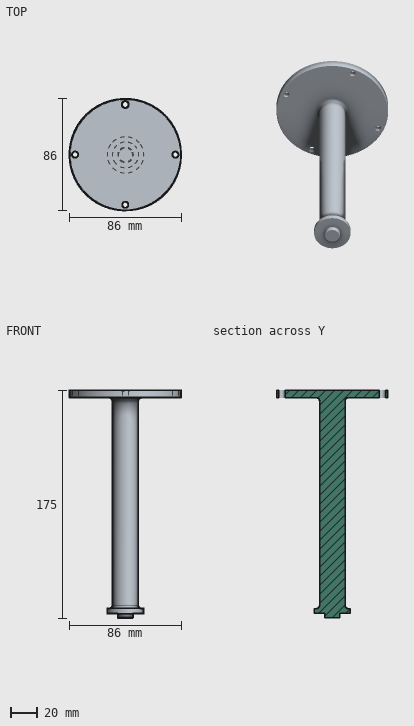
import cadquery as cq

total_height = 175.0

plate_diameter = 86.0
plate_thickness = 6.0
plate_chamfer = 0.5

column_diameter = 20.0
column_fillet = 2.3

collar_diameter = 28.0
collar_thickness = 4.0
pin_diameter = 11.9
pin_length = 3.5
pin_chamfer = 0.5

hole_circle_radius = 38.5
hole_diameter = 4.5
wide_hole_diameter = 4.9
wide_hole_mouth_diameter = 5.5
wide_hole_mouth_depth = 0.7

collar_bottom = pin_length
collar_top = collar_bottom + collar_thickness
plate_bottom = total_height - plate_thickness


def disc(diameter, bottom, top):
    """Solid cylinder on the Z axis between two heights."""
    return cq.Workplane("XY").workplane(offset=bottom).circle(diameter / 2).extrude(top - bottom)


def column_with_fillets():
    """Column flaring with a concave fillet into the collar and the plate."""
    radius = column_diameter / 2
    flare_radius = radius + column_fillet
    lower_tangent = collar_top + column_fillet
    upper_tangent = plate_bottom - column_fillet
    profile = (
        cq.Workplane("XZ")
        .moveTo(0, collar_top)
        .lineTo(flare_radius, collar_top)
        .radiusArc((radius, lower_tangent), column_fillet)
        .lineTo(radius, upper_tangent)
        .radiusArc((flare_radius, plate_bottom), column_fillet)
        .lineTo(0, plate_bottom)
        .close()
    )
    return profile.revolve(360, (0, 0, 0), (0, 1, 0))


def plate():
    """Round plate with a chamfered lower rim and four through holes."""
    body = disc(plate_diameter, plate_bottom, total_height)
    body = body.faces("<Z").edges().chamfer(plate_chamfer)
    plain_holes = [(-hole_circle_radius, 0), (hole_circle_radius, 0), (0, -hole_circle_radius)]
    wide_hole = [(0, hole_circle_radius)]
    top = body.faces(">Z").workplane(origin=(0, 0, total_height))
    drilled = top.pushPoints(plain_holes).hole(hole_diameter)
    top = drilled.faces(">Z").workplane(origin=(0, 0, total_height))
    return top.pushPoints(wide_hole).cboreHole(
        wide_hole_diameter, wide_hole_mouth_diameter, wide_hole_mouth_depth
    )


collar = disc(collar_diameter, collar_bottom, collar_top)
pin = disc(pin_diameter, 0, collar_bottom).faces("<Z").edges().chamfer(pin_chamfer)

result = plate().union(column_with_fillets()).union(collar).union(pin)